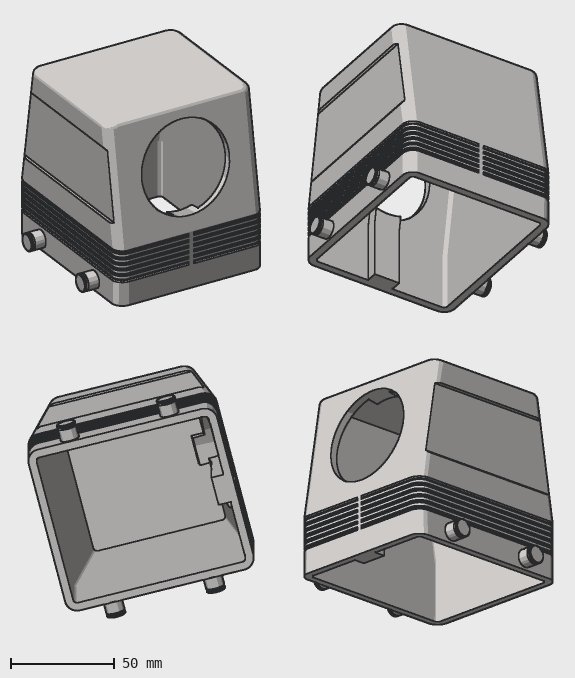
import cadquery as cq
import math

BODY_LENGTH = 93.5
BODY_WIDTH = 82.5
BODY_HEIGHT = 94.0
TAPER_START_Z = 30.5
TAPER_ANGLE = 9.5
CORNER_RADIUS = 6.0
TOP_RADIUS = 3.0
WALL = 4.0

GRIP_BOTTOM_Z = 12.8
GRIP_TOP_Z = 29.8
GRIP_DEPTH = 0.5
GRIP_END_FLANK = 0.8
GRIP_RIB_COUNT = 5
GRIP_RIB_PITCH = 3.0
GRIP_RIB_LAND = 1.6
GRIP_RIB_FLANK = 0.35
STRIP_WIDTH = 3.0

PANEL_BOTTOM_Z = 43.0
PANEL_TOP_Z = 81.0
PANEL_DEPTH = 0.85

ENTRY_DIAMETER = 49.3
ENTRY_CENTER_X = 41.3

RIB_WIDTH = 14.0
RIB_DEPTH = 6.0

PIN_SPACING = 49.5
PIN_Z = 6.0
PIN_DIAMETER = 9.2
PIN_NECK_DIAMETER = 5.2
PIN_TIP_Y = 49.25
PIN_HEAD_THICKNESS = 1.3
PIN_HEAD_CHAMFER = 0.4
PIN_NECK_LENGTH = 0.8
PIN_ROOT_DEPTH = 2.0

TAPER = math.radians(TAPER_ANGLE)
HALF_LENGTH = BODY_LENGTH / 2
HALF_WIDTH = BODY_WIDTH / 2
OVERSHOOT = 1.0


def tapered_block(half_length, width, bottom_z, bend_z, top_z):
    """Block with upright X sides up to bend_z and leaning X sides above."""
    half_top = half_length - (top_z - bend_z) * math.tan(TAPER)
    outline = [
        (-half_length, bottom_z),
        (half_length, bottom_z),
        (half_length, bend_z),
        (half_top, top_z),
        (-half_top, top_z),
        (-half_length, bend_z),
    ]
    return cq.Workplane("XZ").polyline(outline).close().extrude(width / 2, both=True)


def round_corners(block, radius):
    """Round the upright and leaning corner edges of a tapered block."""
    return block.edges("(not #Z) and (not |Y)").fillet(radius)


def make_body():
    block = tapered_block(HALF_LENGTH, BODY_WIDTH, 0, TAPER_START_Z, BODY_HEIGHT)
    return round_corners(block, CORNER_RADIUS).faces(">Z").edges().fillet(TOP_RADIUS)


def inner_bend_z():
    """Height at which the inner wall bends, for a wall of even thickness."""
    return TAPER_START_Z - WALL * math.tan(TAPER / 2)


def make_cavity():
    cavity = tapered_block(
        HALF_LENGTH - WALL,
        BODY_WIDTH - 2 * WALL,
        -OVERSHOOT,
        inner_bend_z(),
        BODY_HEIGHT - WALL,
    )
    return round_corners(cavity, CORNER_RADIUS - WALL).cut(make_rib())


def make_rib():
    """Strip along the +X wall of the cavity, following the bend of that wall."""
    inner_x = HALF_LENGTH - WALL
    rise = BODY_HEIGHT - inner_bend_z()
    top_x = inner_x - rise * math.tan(TAPER)
    outline = [
        (inner_x - RIB_DEPTH, 0),
        (HALF_LENGTH, 0),
        (HALF_LENGTH, BODY_HEIGHT),
        (top_x - RIB_DEPTH, BODY_HEIGHT),
        (inner_x - RIB_DEPTH, inner_bend_z()),
    ]
    return cq.Workplane("XZ").polyline(outline).close().extrude(RIB_WIDTH / 2, both=True)


def grip_slab(inset, bottom_z, height, taper=0):
    """Slab with the base outline moved inward by inset; taper in degrees narrows it upward."""
    outline = (
        cq.Sketch()
        .rect(BODY_LENGTH - 2 * inset, BODY_WIDTH - 2 * inset)
        .vertices()
        .fillet(CORNER_RADIUS - inset)
    )
    slab = cq.Workplane("XY").placeSketch(outline).extrude(height, taper=taper)
    return slab.translate((0, 0, bottom_z))


def grip_flank(face_z, height, upward):
    """Sloped slab running from the body face at face_z to the grip depth, up or down."""
    taper = math.degrees(math.atan(GRIP_DEPTH / height))
    flank = grip_slab(0, 0, height, taper)
    if not upward:
        flank = flank.mirror("XY")
    return flank.translate((0, 0, face_z))


def make_grip_recess():
    """Everything to be removed from the base to leave the grip ribs standing."""
    band_height = GRIP_TOP_Z - GRIP_BOTTOM_Z
    middle_z = (GRIP_BOTTOM_Z + GRIP_TOP_Z) / 2
    band = cq.Workplane("XY", origin=(0, 0, middle_z))
    recess = band.box(BODY_LENGTH + OVERSHOOT, BODY_WIDTH + OVERSHOOT, band_height)
    recess = recess.cut(grip_slab(GRIP_DEPTH, GRIP_BOTTOM_Z, band_height))
    recess = recess.cut(grip_flank(GRIP_BOTTOM_Z, GRIP_END_FLANK, True))
    recess = recess.cut(grip_flank(GRIP_TOP_Z, GRIP_END_FLANK, False))
    for index in range(GRIP_RIB_COUNT):
        rib_z = middle_z + (index - (GRIP_RIB_COUNT - 1) / 2) * GRIP_RIB_PITCH
        land_bottom = rib_z - GRIP_RIB_LAND / 2
        land_top = rib_z + GRIP_RIB_LAND / 2
        recess = recess.cut(grip_slab(0, land_bottom, GRIP_RIB_LAND))
        recess = recess.cut(grip_flank(land_top, GRIP_RIB_FLANK, True))
        recess = recess.cut(grip_flank(land_bottom, GRIP_RIB_FLANK, False))
    return recess.cut(band.box(BODY_LENGTH, STRIP_WIDTH, band_height))


def make_panel():
    """Prism along X that sinks the panel into the -Y side."""
    outline = [
        (-HALF_WIDTH - OVERSHOOT, PANEL_BOTTOM_Z - OVERSHOOT),
        (-HALF_WIDTH + PANEL_DEPTH, PANEL_BOTTOM_Z + PANEL_DEPTH),
        (-HALF_WIDTH + PANEL_DEPTH, PANEL_TOP_Z - PANEL_DEPTH),
        (-HALF_WIDTH - OVERSHOOT, PANEL_TOP_Z + OVERSHOOT),
    ]
    return cq.Workplane("YZ").polyline(outline).close().extrude(HALF_LENGTH, both=True)


def make_entry():
    center_z = TAPER_START_Z + (HALF_LENGTH - ENTRY_CENTER_X) / math.tan(TAPER)
    outward = cq.Vector(math.cos(TAPER), 0, math.sin(TAPER))
    depth = WALL + RIB_DEPTH + OVERSHOOT
    start = cq.Vector(ENTRY_CENTER_X, 0, center_z) - outward * depth
    return cq.Workplane(cq.Solid.makeCylinder(ENTRY_DIAMETER / 2, depth + OVERSHOOT, start, outward))


def make_pin():
    """Pin pointing to -Y, rooted in the -Y wall."""
    radius = PIN_DIAMETER / 2
    neck_radius = PIN_NECK_DIAMETER / 2
    root_y = -HALF_WIDTH + PIN_ROOT_DEPTH
    head_y = -PIN_TIP_Y + PIN_HEAD_THICKNESS
    shank_y = head_y + PIN_NECK_LENGTH
    half_section = [
        (0, root_y),
        (radius, root_y),
        (radius, shank_y),
        (neck_radius, shank_y),
        (neck_radius, head_y),
        (radius - PIN_HEAD_CHAMFER, head_y),
        (radius, head_y - PIN_HEAD_CHAMFER),
        (radius, -PIN_TIP_Y + PIN_HEAD_CHAMFER),
        (radius - PIN_HEAD_CHAMFER, -PIN_TIP_Y),
        (0, -PIN_TIP_Y),
    ]
    pin = cq.Workplane("XY").polyline(half_section).close()
    return pin.revolve(360, (0, 0, 0), (0, 1, 0)).translate((0, 0, PIN_Z))


result = make_body().cut(make_grip_recess())

panel = make_panel()
result = result.cut(panel).cut(panel.mirror("XZ"))
result = result.cut(make_cavity()).cut(make_entry())

for side_x in (-PIN_SPACING / 2, PIN_SPACING / 2):
    pin = make_pin().translate((side_x, 0, 0))
    result = result.union(pin).union(pin.mirror("XZ"))